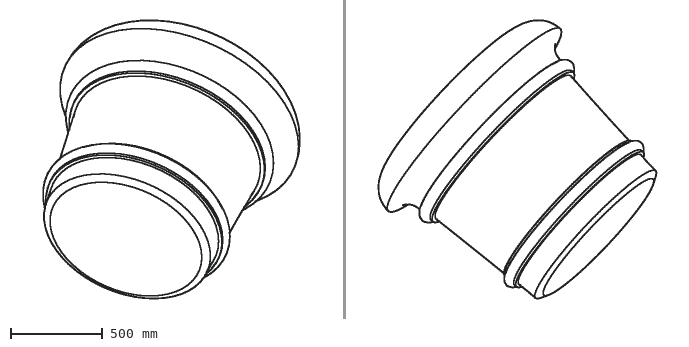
import cadquery as cq

height = 1101.0
rim_radius = 685.0
rim_round = 159.0

cove_radius = 120.0
upper_band_radius = 560.0
upper_band_y = -(rim_round + cove_radius)
upper_bead_radius = 34.0

body_top_radius = 537.0
body_bottom_radius = 497.0

lower_band_radius = 505.0
lower_band_y = -870.0
lower_bead_radius = 30.0
foot_top_radius = 486.0
foot_bottom_radius = 478.0
foot_bevel_height = 22.0
base_radius = 435.0

bead_margin = 15.0


def band_end(start_y, bead_radius):
    """Lower edge of a band: two plain strips with a bead between them."""
    return start_y - 2 * (bead_margin + bead_radius)


def add_band(profile, radius, start_y, bead_radius):
    """Run down a band with a half-round bead, from its upper to lower edge."""
    bead_top = start_y - bead_margin
    bead_bottom = bead_top - 2 * bead_radius
    return (
        profile.lineTo(radius, bead_top)
        .threePointArc((radius + bead_radius, bead_top - bead_radius), (radius, bead_bottom))
        .lineTo(radius, band_end(start_y, bead_radius))
    )


upper_band_end = band_end(upper_band_y, upper_bead_radius)
lower_band_end = band_end(lower_band_y, lower_bead_radius)

profile = (
    cq.Workplane("XY")
    .lineTo(rim_radius - rim_round, 0)
    .radiusArc((rim_radius, -rim_round), rim_round)
    .lineTo(upper_band_radius + cove_radius, -rim_round)
    .radiusArc((upper_band_radius, upper_band_y), -cove_radius)
)

profile = add_band(profile, upper_band_radius, upper_band_y, upper_bead_radius)

profile = (
    profile.lineTo(body_top_radius, upper_band_end)
    .lineTo(body_bottom_radius, lower_band_y)
    .lineTo(lower_band_radius, lower_band_y)
)

profile = add_band(profile, lower_band_radius, lower_band_y, lower_bead_radius)

profile = (
    profile.lineTo(foot_top_radius, lower_band_end)
    .lineTo(foot_bottom_radius, -height + foot_bevel_height)
    .lineTo(base_radius, -height)
    .lineTo(0, -height)
    .close()
)

result = profile.revolve(360, (0, 0, 0), (0, 1, 0))